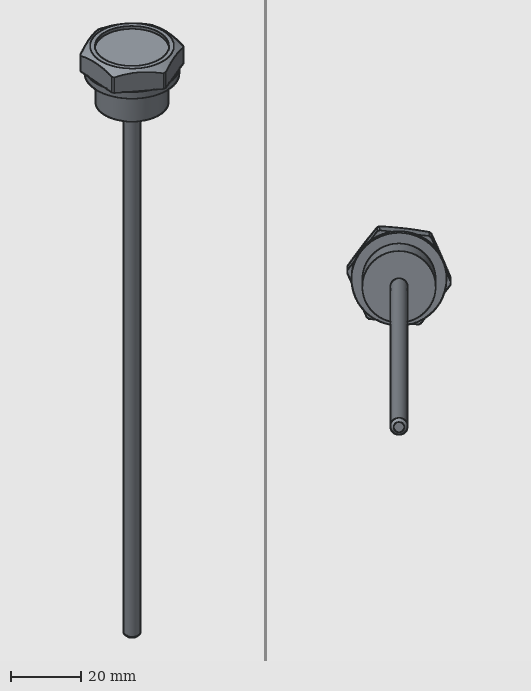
import cadquery as cq
import math

total_length = 199.0

across_flats = 26.0
corner_diameter = 29.7
head_height = 7.0
rim_diameter = 23.9
chamfer_angle = 30.0
recess_diameter = 21.0
recess_depth = 1.0

collar_diameter = 27.0
collar_height = 2.2
plug_diameter = 20.9
plug_height = 9.8

rod_diameter = 5.0
tip_chamfer = 1.0

head_bottom = total_length - head_height
collar_bottom = head_bottom - collar_height
plug_bottom = collar_bottom - plug_height


def cylinder(diameter, bottom, height):
    """Vertical cylinder centred on the Z axis."""
    return cq.Workplane("XY").workplane(offset=bottom).circle(diameter / 2).extrude(height)


def make_head():
    """Hexagon trimmed by a chamfered cylinder, with a shallow round recess on top."""
    across_corners = across_flats / math.cos(math.radians(30))
    hexagon = (
        cq.Workplane("XY")
        .workplane(offset=head_bottom)
        .transformed(rotate=(0, 0, 90))
        .polygon(6, across_corners)
        .extrude(head_height)
    )
    chamfer_width = (corner_diameter - rim_diameter) / 2
    chamfer_drop = chamfer_width * math.tan(math.radians(chamfer_angle))
    turned_profile = (
        cq.Workplane("XZ")
        .moveTo(0, head_bottom)
        .lineTo(corner_diameter / 2, head_bottom)
        .lineTo(corner_diameter / 2, total_length - chamfer_drop)
        .lineTo(rim_diameter / 2, total_length)
        .lineTo(0, total_length)
        .close()
    )
    turned_blank = turned_profile.revolve(360, (0, 0, 0), (0, 1, 0))
    recess = cylinder(recess_diameter, total_length - recess_depth, recess_depth)
    return hexagon.intersect(turned_blank).cut(recess)


def make_rod():
    """Long rod with a chamfered lower tip, ending at the underside of the plug."""
    return cylinder(rod_diameter, 0, plug_bottom).faces("<Z").chamfer(tip_chamfer)


collar = cylinder(collar_diameter, collar_bottom, collar_height)
plug = cylinder(plug_diameter, plug_bottom, plug_height)

result = make_head().union(collar).union(plug).union(make_rod())